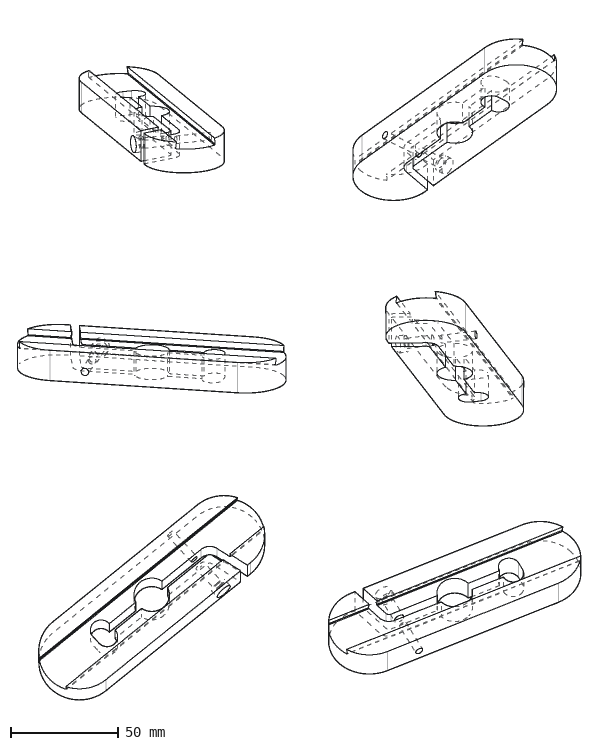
import cadquery as cq
import math

length = 127.0
width = 38.0
height = 15.0

channel_depth = 3.4
channel_mouth_half = 9.4
channel_widest_half = 9.8
channel_floor_half = 9.4
floor_bevel_height = 0.4

slit_width = 4.1
slit_lean = 15.0
slit_exit_x = 40.4
bend_inner_radius = 2.0

bore_diameter = 16.5
relief_x = -29.3
relief_length = 14.2
relief_width = 9.9

screw_x = 28.0
screw_z = 5.5
head_diameter = 8.0
head_depth = 4.1
clearance_diameter = 4.8
thread_diameter = 3.5

CUT_MARGIN = 1.3


def make_body():
    return cq.Workplane("XY").slot2D(length, width).extrude(height)


def make_channel():
    floor_z = height - channel_depth
    right_side = [
        (channel_floor_half, floor_z),
        (channel_widest_half, floor_z + floor_bevel_height),
        (channel_mouth_half, height),
        (channel_mouth_half, height + CUT_MARGIN),
    ]
    left_side = [(-y, z) for y, z in reversed(right_side)]
    return cq.Workplane("YZ").polyline(right_side + left_side).close().extrude(length / 2, both=True)


def make_slit():
    lean = math.radians(slit_lean)
    half_slit = slit_width / 2
    half_exit = half_slit / math.cos(lean)
    end_y = -width / 2 - CUT_MARGIN

    def leg_x(side, y):
        """X of one side (-1 or +1) of the leaning leg at a given Y."""
        return slit_exit_x + side * half_exit - (y + width / 2) * math.tan(lean)

    inner_corner = (leg_x(-1, -half_slit), -half_slit)
    outer_corner = (leg_x(1, half_slit), half_slit)
    outline = [
        (relief_x, half_slit),
        outer_corner,
        (leg_x(1, end_y), end_y),
        (leg_x(-1, end_y), end_y),
        inner_corner,
        (relief_x, -half_slit),
    ]
    slit = cq.Workplane("XY").polyline(outline).close().extrude(height)
    bends = [
        (inner_corner, bend_inner_radius),
        (outer_corner, bend_inner_radius + slit_width),
    ]
    for (x, y), radius in bends:
        corner_edge = cq.selectors.NearestToPointSelector((x, y, height / 2))
        slit = slit.edges("|Z").edges(corner_edge).fillet(radius)
    return slit


def make_openings():
    bore = cq.Workplane("XY").circle(bore_diameter / 2).extrude(height)
    relief = cq.Workplane("XY").center(relief_x, 0).slot2D(relief_length, relief_width, 90).extrude(height)
    return bore.union(relief)


def make_screw_hole():
    def drill(diameter, depth):
        """Cylinder running in +Y from the -Y side of the body."""
        start = cq.Vector(screw_x, -width / 2, screw_z)
        return cq.Workplane(cq.Solid.makeCylinder(diameter / 2, depth, start, cq.Vector(0, 1, 0)))

    head = drill(head_diameter, head_depth)
    clearance = drill(clearance_diameter, width / 2)
    thread = drill(thread_diameter, width)
    return head.union(clearance).union(thread)


result = (
    make_body()
    .cut(make_channel())
    .cut(make_slit())
    .cut(make_openings())
    .cut(make_screw_hole())
)